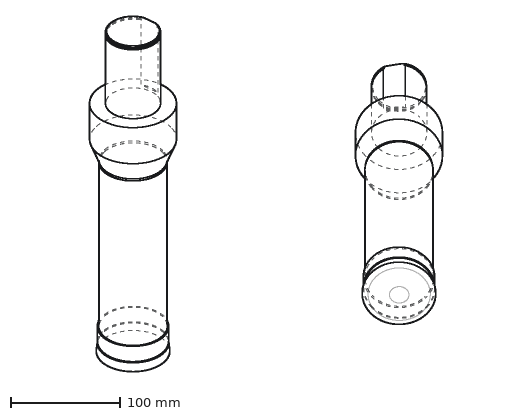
import cadquery as cq

total_height = 357.0
rod_length = 80.0
collar_height = 40.0
cone_height = 23.0
neck_height = 2.0
base_cap_top = 29.5
cap_groove_top = 12.5
cap_groove_height = 1.0
cap_rim_bottom = 2.0
bottom_cone_height = 1.0

rod_diameter = 50.7
collar_diameter = 80.0
tube_diameter = 63.0
neck_diameter = 62.5
cap_diameter = 65.7
cap_groove_depth = 0.5
cap_rim_diameter = 68.0
cap_bottom_diameter = 57.0
bottom_flat_diameter = 18.0

rod_chamfer = 1.0
rod_flat_depth = 2.0
rod_flat_clearance = 4.3
rod_groove_top_offset = 2.5
rod_groove_height = 1.0
rod_groove_depth = 0.5

collar_top = total_height - rod_length
cone_top = collar_top - collar_height
cone_bottom = cone_top - cone_height
neck_bottom = cone_bottom - neck_height
cap_groove_bottom = cap_groove_top - cap_groove_height


def make_housing():
    """Turned housing: collar, cone, narrow neck, tube and a grooved cap with a conical bottom."""
    cap_groove_radius = cap_diameter / 2 - cap_groove_depth
    return (
        cq.Workplane("XZ")
        .moveTo(0, 0)
        .lineTo(bottom_flat_diameter / 2, 0)
        .lineTo(cap_bottom_diameter / 2, bottom_cone_height)
        .lineTo(cap_rim_diameter / 2, cap_rim_bottom)
        .lineTo(cap_diameter / 2, cap_groove_bottom)
        .lineTo(cap_groove_radius, cap_groove_bottom)
        .lineTo(cap_groove_radius, cap_groove_top)
        .lineTo(cap_diameter / 2, cap_groove_top)
        .lineTo(cap_diameter / 2, base_cap_top)
        .lineTo(tube_diameter / 2, base_cap_top)
        .lineTo(tube_diameter / 2, neck_bottom)
        .lineTo(neck_diameter / 2, neck_bottom)
        .lineTo(neck_diameter / 2, cone_bottom)
        .lineTo(collar_diameter / 2, cone_top)
        .lineTo(collar_diameter / 2, collar_top)
        .lineTo(0, collar_top)
        .close()
        .revolve(360, (0, 0, 0), (0, 1, 0))
    )


def make_rod():
    """Round rod standing on the collar, with a flat along its +Y side and a chamfered, grooved end."""
    flat_height = rod_length - rod_flat_clearance
    flat_cutter = (
        cq.Workplane("XY", origin=(0, rod_diameter / 2 - rod_flat_depth, collar_top + rod_flat_clearance))
        .box(rod_diameter, rod_diameter, flat_height, centered=(True, False, False))
    )
    groove_bottom = total_height - rod_groove_top_offset - rod_groove_height
    groove_cutter = (
        cq.Workplane("XY", origin=(0, 0, groove_bottom))
        .circle(rod_diameter / 2)
        .circle(rod_diameter / 2 - rod_groove_depth)
        .extrude(rod_groove_height)
    )
    return (
        cq.Workplane("XY", origin=(0, 0, collar_top))
        .circle(rod_diameter / 2)
        .extrude(rod_length)
        .faces(">Z")
        .chamfer(rod_chamfer)
        .cut(groove_cutter)
        .cut(flat_cutter)
    )


housing = make_housing()
rod = make_rod()

result = cq.Compound.makeCompound([housing.val(), rod.val()])